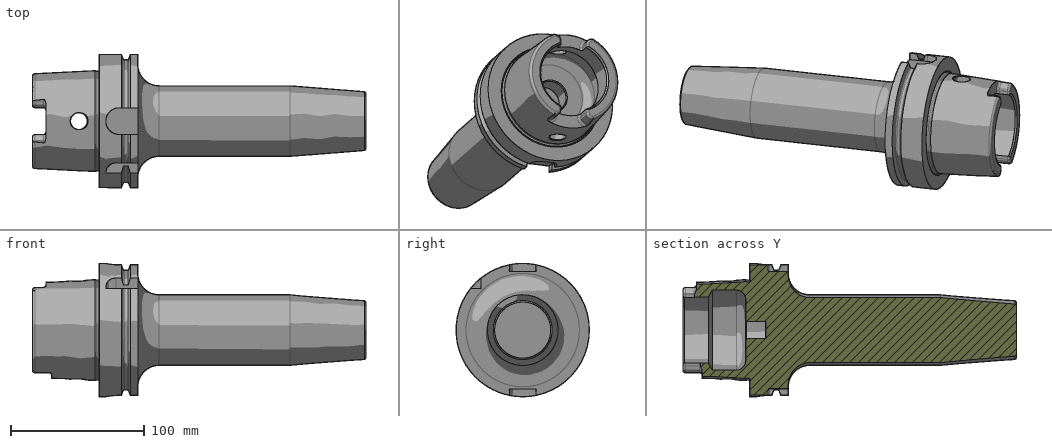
import cadquery as cq
import math


SHANK_LENGTH = 50.0
GAUGE_DIAMETER = 75.0
GAUGE_DISTANCE = 10.0
TAPER_RATIO = 1 / 10
MOUTH_ROUND = 2.0

UNDERCUT_LENGTH = 3.0
UNDERCUT_RAMP = 1.0
UNDERCUT_RADIUS = 37.55
UNDERCUT_ROUND = 1.1
FACE_GROOVE_RADIUS = 39.5
FACE_GROOVE_DEPTH = 0.3

FLANGE_RADIUS = 50.0
FLANGE_LENGTH = 29.0
GROOVE_CENTRE = 20.0
GROOVE_BOTTOM_RADIUS = 46.0
GROOVE_BOTTOM_WIDTH = 3.5
GROOVE_TOP_WIDTH = 6.8
GROOVE_BOTTOM_FILLET = 1.0

NOSE_END = 200.0
NECK_RADIUS = 26.5
NECK_FILLET = 16.0
TIP_RADIUS = 22.0
TIP_TAPER_ANGLE = 4.5
TIP_CHAMFER = 1.0

MOUTH_RADIUS = 26.5
MOUTH_CHAMFER = 1.2
MOUTH_LAND_LENGTH = 19.2
CAVITY_RADIUS = 31.5
CAVITY_CONE_ANGLE = 60.0
CAVITY_DEPTH = 47.0
CAVITY_FLOOR_ROUND = 7.0
TUBE_HOLE_RADIUS = 11.7
TUBE_HOLE_DEPTH = 15.0
TUBE_HOLE_CHAMFER = 0.8

KEYWAY_WIDTH = 20.0
KEYWAY_TOP_DEPTH = 10.0
KEYWAY_BOTTOM_DEPTH = 14.3
KEYWAY_FLANK_RADIUS = 5.0
KEYWAY_SHOULDER_HEIGHT = 32.0
KEYWAY_FLOOR_FILLET = 1.8

ACCESS_HOLE_DIAMETER = 12.5
ACCESS_HOLE_X = -15.2
ACCESS_HOLE_CHAMFER = 0.6

SLOT_WIDTH = 20.0
SLOT_START = 5.0
SLOT_FLOOR_HEIGHT = 44.0
NOTCH_WALL = 31.3
NOTCH_START = 5.0
NOTCH_CUTTER_RADIUS = 7.7

SELECTION_MARGIN = 0.1
CLEARANCE = 10.0


def taper_radius(x):
    """Radius of the shank taper at position x."""
    return (GAUGE_DIAMETER + TAPER_RATIO * (x + GAUGE_DISTANCE)) / 2


def revolve_about_x(profile):
    return profile.close().revolve(360, (0, 0, 0), (1, 0, 0))


def turn_over(shape):
    """Turn a shape half a turn about the part axis."""
    return shape.rotate((0, 0, 0), (1, 0, 0), 180)


def make_body():
    """Outer shape: shank taper, undercut, grooved flange, neck and tapered nose."""
    taper_end = -UNDERCUT_LENGTH
    neck_start = FLANGE_LENGTH + NECK_FILLET
    tip_slope = math.tan(math.radians(TIP_TAPER_ANGLE))
    tip_start = NOSE_END - (NECK_RADIUS - TIP_RADIUS) / tip_slope
    undercut_mid = UNDERCUT_ROUND * (1 - math.sqrt(0.5))
    fillet_mid = NECK_FILLET * (1 - math.sqrt(0.5))
    profile = (
        cq.Workplane("XY")
        .moveTo(-SHANK_LENGTH, 0)
        .lineTo(-SHANK_LENGTH, taper_radius(-SHANK_LENGTH))
        .lineTo(taper_end, taper_radius(taper_end))
        .lineTo(taper_end + UNDERCUT_RAMP, UNDERCUT_RADIUS)
        .lineTo(FACE_GROOVE_DEPTH - UNDERCUT_ROUND, UNDERCUT_RADIUS)
        .threePointArc(
            (FACE_GROOVE_DEPTH - undercut_mid, UNDERCUT_RADIUS + undercut_mid),
            (FACE_GROOVE_DEPTH, UNDERCUT_RADIUS + UNDERCUT_ROUND),
        )
        .lineTo(0, FACE_GROOVE_RADIUS)
        .lineTo(0, FLANGE_RADIUS)
        .lineTo(GROOVE_CENTRE - GROOVE_TOP_WIDTH / 2, FLANGE_RADIUS)
        .lineTo(GROOVE_CENTRE - GROOVE_BOTTOM_WIDTH / 2, GROOVE_BOTTOM_RADIUS)
        .lineTo(GROOVE_CENTRE + GROOVE_BOTTOM_WIDTH / 2, GROOVE_BOTTOM_RADIUS)
        .lineTo(GROOVE_CENTRE + GROOVE_TOP_WIDTH / 2, FLANGE_RADIUS)
        .lineTo(FLANGE_LENGTH, FLANGE_RADIUS)
        .lineTo(FLANGE_LENGTH, NECK_RADIUS + NECK_FILLET)
        .threePointArc((FLANGE_LENGTH + fillet_mid, NECK_RADIUS + fillet_mid), (neck_start, NECK_RADIUS))
        .lineTo(tip_start, NECK_RADIUS)
        .lineTo(NOSE_END - TIP_CHAMFER, TIP_RADIUS + TIP_CHAMFER * tip_slope)
        .lineTo(NOSE_END, TIP_RADIUS - TIP_CHAMFER)
        .lineTo(NOSE_END, 0)
    )
    body = revolve_about_x(profile)
    half_width = GROOVE_BOTTOM_WIDTH / 2 + SELECTION_MARGIN
    groove_box = cq.selectors.BoxSelector(
        (GROOVE_CENTRE - half_width, -FLANGE_RADIUS, -FLANGE_RADIUS),
        (GROOVE_CENTRE + half_width, FLANGE_RADIUS, FLANGE_RADIUS),
        boundingbox=True,
    )
    return body.edges("%CIRCLE").edges(groove_box).fillet(GROOVE_BOTTOM_FILLET)


def make_cavity():
    """Clamping bore, widened behind the mouth land, with a rounded floor and a coolant tube hole."""
    mouth = -SHANK_LENGTH
    land_end = mouth + MOUTH_LAND_LENGTH
    cone_length = (CAVITY_RADIUS - MOUTH_RADIUS) / math.tan(math.radians(CAVITY_CONE_ANGLE))
    floor = mouth + CAVITY_DEPTH
    tube_hole_end = floor + TUBE_HOLE_DEPTH
    round_start = floor - CAVITY_FLOOR_ROUND
    round_inner = CAVITY_RADIUS - CAVITY_FLOOR_ROUND
    round_mid = CAVITY_FLOOR_ROUND * math.sqrt(0.5)
    profile = (
        cq.Workplane("XY")
        .moveTo(mouth, 0)
        .lineTo(mouth, MOUTH_RADIUS + MOUTH_CHAMFER)
        .lineTo(mouth + MOUTH_CHAMFER, MOUTH_RADIUS)
        .lineTo(land_end, MOUTH_RADIUS)
        .lineTo(land_end + cone_length, CAVITY_RADIUS)
        .lineTo(round_start, CAVITY_RADIUS)
        .threePointArc((round_start + round_mid, round_inner + round_mid), (floor, round_inner))
        .lineTo(floor, TUBE_HOLE_RADIUS + TUBE_HOLE_CHAMFER)
        .lineTo(floor + TUBE_HOLE_CHAMFER, TUBE_HOLE_RADIUS)
        .lineTo(tube_hole_end, TUBE_HOLE_RADIUS)
        .lineTo(tube_hole_end, 0)
    )
    return revolve_about_x(profile)


def make_keyway(depth):
    """Upper keyway cutter: straight flanks that round outward into level shoulders."""
    half_width = KEYWAY_WIDTH / 2
    flank_top = KEYWAY_SHOULDER_HEIGHT - KEYWAY_FLANK_RADIUS
    shoulder = half_width + KEYWAY_FLANK_RADIUS
    arc_mid = KEYWAY_FLANK_RADIUS * (1 - math.sqrt(0.5))
    arc_mid_point = (half_width + arc_mid, KEYWAY_SHOULDER_HEIGHT - arc_mid)
    outer = shoulder + CLEARANCE
    top = FLANGE_RADIUS
    return (
        cq.Workplane("YZ", origin=(-SHANK_LENGTH, 0, 0))
        .moveTo(-half_width, 0)
        .lineTo(half_width, 0)
        .lineTo(half_width, flank_top)
        .threePointArc(arc_mid_point, (shoulder, KEYWAY_SHOULDER_HEIGHT))
        .lineTo(outer, KEYWAY_SHOULDER_HEIGHT)
        .lineTo(outer, top)
        .lineTo(-outer, top)
        .lineTo(-outer, KEYWAY_SHOULDER_HEIGHT)
        .lineTo(-shoulder, KEYWAY_SHOULDER_HEIGHT)
        .threePointArc((-arc_mid_point[0], arc_mid_point[1]), (-half_width, flank_top))
        .close()
        .extrude(depth)
        .faces(">X")
        .edges("not(<Z or >Z)")
        .edges("not(>Y or <Y)")
        .fillet(KEYWAY_FLOOR_FILLET)
    )


def make_gripper_slot():
    """Upper flange slot cutter with a flat floor and a round inner end."""
    radius = SLOT_WIDTH / 2
    length = FLANGE_LENGTH + CLEARANCE - SLOT_START - radius
    height = FLANGE_RADIUS + CLEARANCE - SLOT_FLOOR_HEIGHT
    floor = cq.Workplane("XY", origin=(SLOT_START + radius, 0, SLOT_FLOOR_HEIGHT))
    round_end = floor.circle(radius).extrude(height)
    straight = floor.center(length / 2, 0).rect(length, SLOT_WIDTH).extrude(height)
    return straight.union(round_end)


def make_notch():
    """Right-angled orientation notch cutter on the -Y, +Z side, with a rounded inner corner."""
    length = FLANGE_LENGTH + CLEARANCE - NOTCH_START
    return (
        cq.Workplane("XY", origin=(NOTCH_START, -NOTCH_WALL, NOTCH_WALL))
        .rect(length, -FLANGE_RADIUS, centered=False)
        .extrude(FLANGE_RADIUS)
        .edges("|Z and <X and >Y")
        .fillet(NOTCH_CUTTER_RADIUS)
    )


def make_access_hole():
    """Hole across the whole shank, countersunk where it meets the taper on both sides."""
    radius = ACCESS_HOLE_DIAMETER / 2
    hole = cq.Workplane("XY").center(ACCESS_HOLE_X, 0).circle(radius).extrude(FLANGE_RADIUS, both=True)
    countersink = (
        cq.Workplane("XZ")
        .moveTo(0, 0)
        .lineTo(radius + ACCESS_HOLE_CHAMFER, 0)
        .lineTo(0, -radius - ACCESS_HOLE_CHAMFER)
        .close()
        .revolve(360, (0, 0, 0), (0, 1, 0))
        .translate((ACCESS_HOLE_X, 0, taper_radius(ACCESS_HOLE_X)))
    )
    return hole.union(countersink).union(turn_over(countersink))


shank_and_nose = (
    make_body()
    .cut(make_keyway(KEYWAY_TOP_DEPTH))
    .cut(turn_over(make_keyway(KEYWAY_BOTTOM_DEPTH)))
    .faces("<X")
    .edges()
    .fillet(MOUTH_ROUND)
)

gripper_slot = make_gripper_slot()

result = (
    shank_and_nose
    .cut(make_cavity())
    .cut(make_access_hole())
    .cut(gripper_slot)
    .cut(turn_over(gripper_slot))
    .cut(make_notch())
)